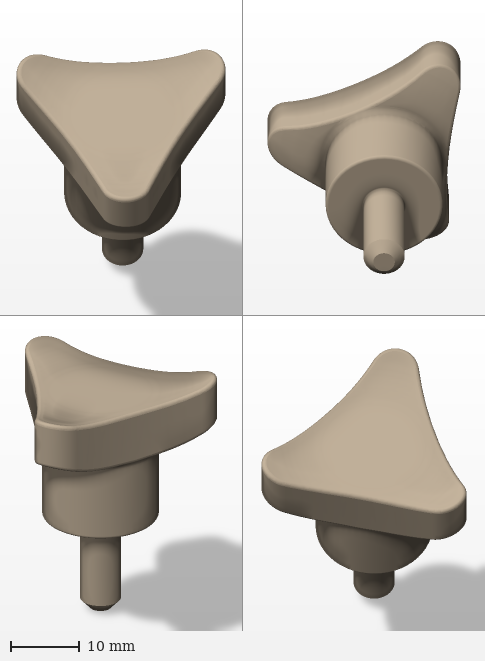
import cadquery as cq
import math

hub_bottom_z = 15.0
underside_z = 26.95
dish_z = 35.0
total_height = 36.77

lobe_offset = 13.35
lobe_radius = 3.6
side_distance = 9.3

dish_flat_radius = 7.57
dish_arc_radius = 22.6
underside_flat_radius = 6.62
underside_arc_radius = 18.75
blank_radius = 18.4
top_edge_fillet = 0.5
bottom_edge_fillet = 0.55

hub_radius = 17.0 / 2
hub_edge_fillet = 0.45
flare_radius = 0.92
stud_radius = 6.0 / 2
stud_root_fillet = 0.2
stud_chamfer_height = 1.5
stud_chamfer_width = 1.45


def polar(radius, degrees):
    angle = math.radians(degrees)
    return (radius * math.cos(angle), radius * math.sin(angle))


def lobed_prism():
    """Tall vertical prism with three lobes, the first pointing along +Y."""
    lobe_x, lobe_y = polar(lobe_offset, 30)
    reach = side_distance - lobe_y
    side_radius = (lobe_x**2 + reach**2 - lobe_radius**2) / (2 * (lobe_radius - reach))
    share = side_radius / (side_radius + lobe_radius)
    side_center = side_distance + side_radius
    touch_along = side_center + (lobe_y - side_center) * share
    touch_across = lobe_x * share
    touch_radius = math.hypot(touch_along, touch_across)
    touch_angle = math.degrees(math.atan2(touch_across, touch_along))

    outline = cq.Workplane("XY")
    outline = outline.moveTo(*polar(touch_radius, 30 + touch_angle))
    for lobe_angle in (90, 210, 330):
        side_angle = lobe_angle + 60
        lobe_tip = polar(lobe_offset + lobe_radius, lobe_angle)
        side_start = polar(touch_radius, side_angle - touch_angle)
        side_middle = polar(side_distance, side_angle)
        side_end = polar(touch_radius, side_angle + touch_angle)
        outline = outline.threePointArc(lobe_tip, side_start)
        outline = outline.threePointArc(side_middle, side_end)
    return outline.close().extrude(2 * total_height)


def rising_arc_point(flat_radius, flat_z, arc_radius, radius):
    """Point at the given radius on an arc leaving the flat centre tangentially."""
    run = radius - flat_radius
    return (radius, flat_z + arc_radius - math.sqrt(arc_radius**2 - run**2))


def knob_blank():
    """Turned blank: dished top, bowed underside, flare and hub."""
    under = (underside_flat_radius, underside_z, underside_arc_radius)
    dish = (dish_flat_radius, dish_z, dish_arc_radius)

    bow_center_z = underside_z + underside_arc_radius
    center_distance = underside_arc_radius + flare_radius
    flare_center_r = hub_radius + flare_radius
    flare_run = flare_center_r - underside_flat_radius
    flare_drop = math.sqrt(center_distance**2 - flare_run**2)
    flare_center_z = bow_center_z - flare_drop
    touch_r = underside_flat_radius + flare_run * underside_arc_radius / center_distance
    flare_middle = (
        flare_center_r - flare_radius * math.sqrt(0.5),
        flare_center_z + flare_radius * math.sqrt(0.5),
    )
    under_middle = (touch_r + blank_radius) / 2
    dish_middle = (dish_flat_radius + blank_radius) / 2

    return (
        cq.Workplane("XZ")
        .moveTo(0, hub_bottom_z)
        .lineTo(hub_radius, hub_bottom_z)
        .lineTo(hub_radius, flare_center_z)
        .threePointArc(flare_middle, rising_arc_point(*under, touch_r))
        .threePointArc(rising_arc_point(*under, under_middle), rising_arc_point(*under, blank_radius))
        .lineTo(*rising_arc_point(*dish, blank_radius))
        .threePointArc(rising_arc_point(*dish, dish_middle), (dish_flat_radius, dish_z))
        .lineTo(0, dish_z)
        .close()
        .revolve(360, (0, 0), (0, 1))
        .faces("<Z")
        .edges()
        .fillet(hub_edge_fillet)
    )


def rim_edges(body, lowest_z, highest_z):
    """Outer edges, between two heights, where a grip surface meets the side walls."""
    region = cq.selectors.BoxSelector(
        (-blank_radius, -blank_radius, lowest_z), (blank_radius, blank_radius, highest_z)
    )
    return body.edges("not %CIRCLE").edges("not |Z").edges(region)


def knob():
    middle_z = (underside_z + total_height) / 2
    body = knob_blank().intersect(lobed_prism())
    body = rim_edges(body, middle_z, total_height + top_edge_fillet).fillet(top_edge_fillet)
    return rim_edges(body, underside_z, middle_z).fillet(bottom_edge_fillet)


def stud():
    return (
        cq.Workplane("XY")
        .circle(stud_radius)
        .extrude(hub_bottom_z + 0.35)
        .faces("<Z")
        .chamfer(stud_chamfer_height, stud_chamfer_width)
    )


def stud_root():
    """Edge where the stud leaves the underside of the hub."""
    return cq.selectors.BoxSelector(
        (-hub_radius / 2, -hub_radius / 2, hub_bottom_z - stud_root_fillet),
        (hub_radius / 2, hub_radius / 2, hub_bottom_z + stud_root_fillet),
    )


result = knob().union(stud()).edges("%CIRCLE").edges(stud_root()).fillet(stud_root_fillet)